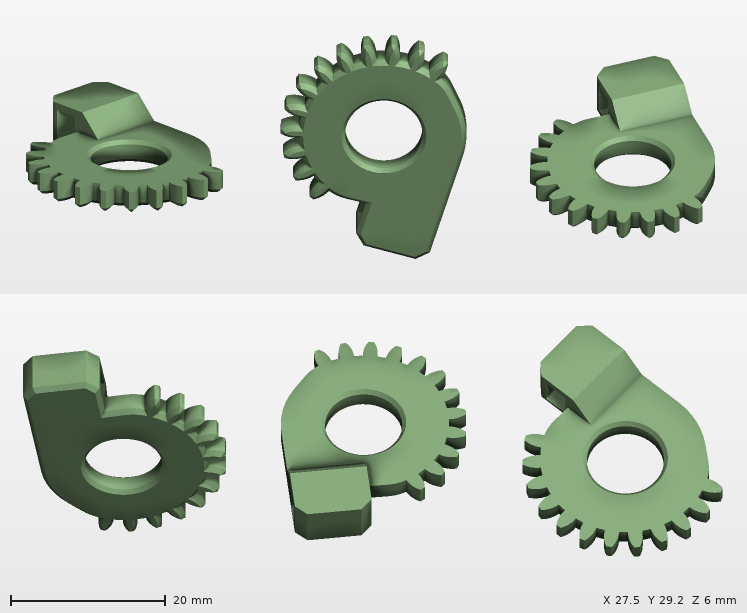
import cadquery as cq
import math

plate_height = 3.0
arm_height = 6.0
bottom_chamfer = 0.58

bore_radius = 5.0
bore_chamfer = 0.5

teeth_per_turn = 23
tooth_count = 12
tooth_tip_radius = 13.32
tooth_root_radius = 11.0
tooth_root_half_width = 0.93
tooth_bulge_radius = 12.39
tooth_bulge_half_width = 0.8
tooth_tip_half_width = 0.35
flank_straight_end = 11.48
tooth_inner_radius = 8.75

crown_radius = 10.35
crown_centre_y = 0.45
flat_tilt = 25.6
flat_run_under_arm = 1.45

arm_tilt = 24.2
arm_width = 10.0
arm_end = 16.55
arm_root = 2.92
arm_corner = 1.5
ramp_foot = 6.6

slot_start = 10.95
slot_end = 14.3
slot_bottom = 1.0
slot_top = 5.0

arm_angle = math.radians(arm_tilt)

arm_outer_side = crown_radius + crown_centre_y * math.cos(arm_angle)
arm_inner_side = arm_outer_side - arm_width


def raise_with_chamfer(outline, height):
    """Extrude a closed outline up from Z = 0 and chamfer its bottom edge."""
    return outline.extrude(height).faces("<Z").chamfer(bottom_chamfer)


def make_hub():
    """Plate around the bore: root circle, shoulder arcs, flats and a crown arc, all tangent."""
    tilt = math.radians(flat_tilt)
    flat_offset = crown_radius + crown_centre_y * math.sin(tilt)
    shoulder_radius = (flat_offset - tooth_root_radius * math.cos(tilt)) / (1 - math.cos(tilt))
    flat_low_x = tooth_root_radius - shoulder_radius * (1 - math.cos(tilt))
    flat_low_y = shoulder_radius * math.sin(tilt)
    flat_high_x = crown_radius * math.cos(tilt)
    flat_high_y = crown_centre_y + crown_radius * math.sin(tilt)
    under_arm_x = -flat_high_x + flat_run_under_arm * math.sin(tilt)
    under_arm_y = flat_high_y + flat_run_under_arm * math.cos(tilt)

    crown_end_x = crown_radius * math.sin(arm_angle)
    crown_end_y = crown_centre_y + crown_radius * math.cos(arm_angle)
    tangent_run = ramp_foot * math.cos(arm_angle)
    tangent_rise = ramp_foot * math.sin(arm_angle)

    outline = (
        cq.Workplane("XY")
        .moveTo(crown_end_x - tangent_run, crown_end_y + tangent_rise)
        .lineTo(crown_end_x, crown_end_y)
        .tangentArcPoint((flat_high_x, flat_high_y), relative=False)
        .lineTo(flat_low_x, flat_low_y)
        .tangentArcPoint((tooth_root_radius, 0), relative=False)
        .tangentArcPoint((-tooth_root_radius, 0), relative=False)
        .tangentArcPoint((-flat_low_x, flat_low_y), relative=False)
        .lineTo(under_arm_x, under_arm_y)
        .close()
    )
    return raise_with_chamfer(outline, plate_height)


def make_tooth():
    """One tooth pointing along +X, with its foot buried in the hub."""
    outline = (
        cq.Workplane("XY")
        .moveTo(tooth_tip_radius, 0)
        .lineTo(tooth_tip_radius, tooth_tip_half_width)
        .threePointArc(
            (tooth_bulge_radius, tooth_bulge_half_width),
            (flank_straight_end, tooth_root_half_width),
        )
        .lineTo(tooth_inner_radius, tooth_root_half_width)
        .lineTo(tooth_inner_radius, 0)
        .mirrorX()
    )
    return raise_with_chamfer(outline, plate_height)


def make_arm():
    """Raised block with clipped outer corners and a ramp down to the plate."""
    outline = cq.Workplane("XY").polyline(
        [
            (-arm_root, arm_inner_side),
            (-arm_root, arm_outer_side),
            (-arm_end + arm_corner, arm_outer_side),
            (-arm_end, arm_outer_side - arm_corner),
            (-arm_end, arm_inner_side + arm_corner),
            (-arm_end + arm_corner, arm_inner_side),
        ]
    ).close()
    block = raise_with_chamfer(outline, arm_height)

    ramp_run = arm_height - plate_height
    above_plate = (
        cq.Workplane("XZ", origin=(0, arm_outer_side, 0))
        .polyline(
            [
                (-ramp_foot, plate_height),
                (-ramp_foot - ramp_run, arm_height),
                (0, arm_height),
                (0, plate_height),
            ]
        )
        .close()
        .extrude(arm_width)
    )
    slot = cq.Workplane("XY").box(
        slot_end - slot_start, arm_width, slot_top - slot_bottom, centered=False
    ).translate((-slot_end, arm_inner_side, slot_bottom))

    return block.cut(above_plate).cut(slot).rotate((0, 0, 0), (0, 0, 1), -arm_tilt)


def make_bore():
    """Through bore, widened by a chamfer at both faces of the plate."""
    wide_radius = bore_radius + bore_chamfer
    return (
        cq.Workplane("XZ")
        .polyline(
            [
                (0, 0),
                (wide_radius, 0),
                (bore_radius, bore_chamfer),
                (bore_radius, plate_height - bore_chamfer),
                (wide_radius, plate_height),
                (0, plate_height),
            ]
        )
        .close()
        .revolve(360, (0, 0, 0), (0, 1, 0))
    )


result = make_hub().union(make_arm())

tooth = make_tooth()
tooth_pitch = 360 / teeth_per_turn
first_tooth_angle = -90 - tooth_pitch * (tooth_count - 1) / 2
for index in range(tooth_count):
    tooth_angle = first_tooth_angle + index * tooth_pitch
    result = result.union(tooth.rotate((0, 0, 0), (0, 0, 1), tooth_angle))

result = result.cut(make_bore())